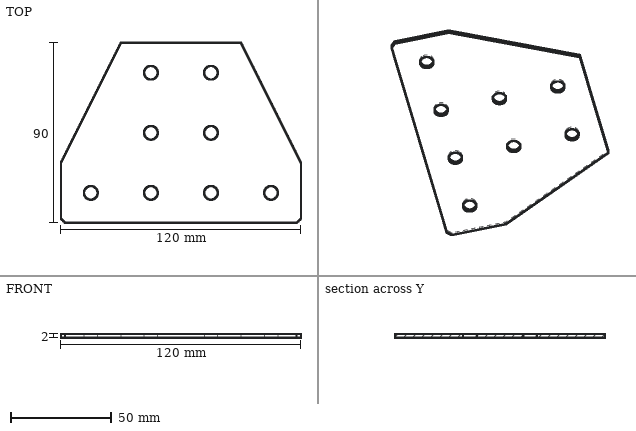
import cadquery as cq

pitch = 30.0
thickness = 2.0
hole_diameter = 6.7
corner_chamfer = 2.2

width = 4 * pitch
height = 3 * pitch
half_width = width / 2
half_top_width = pitch
shoulder_height = pitch

outline = [
    (-half_width, 0),
    (half_width, 0),
    (half_width, shoulder_height),
    (half_top_width, height),
    (-half_top_width, height),
    (-half_width, shoulder_height),
]
plate = cq.Workplane("XY").polyline(outline).close().extrude(thickness)

plate = plate.faces("<Y").edges("|Z").chamfer(corner_chamfer)

holes_per_row = [4, 2, 2]
hole_centers = []
for row, count in enumerate(holes_per_row):
    y = (row + 0.5) * pitch
    for column in range(count):
        x = (column - (count - 1) / 2) * pitch
        hole_centers.append((x, y))

holes = cq.Workplane("XY").pushPoints(hole_centers).circle(hole_diameter / 2).extrude(thickness)

result = plate.cut(holes)